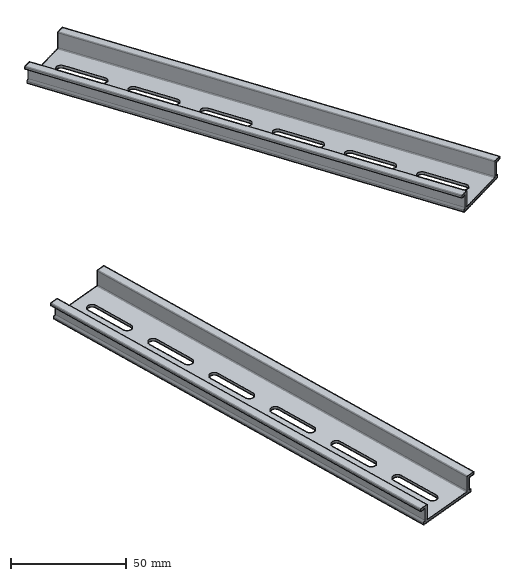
import cadquery as cq

LENGTH = 215.0
FLANGE_SPAN = 35.0
HEIGHT = 10.0

CHANNEL_WIDTH = 26.0
THICKNESS = 1.5
BASE_WIDTH = 31.2
EDGE_RADIUS = 0.3

SLOT_COUNT = 6
SLOT_PITCH = 35.5
SLOT_LENGTH = 25.0
SLOT_WIDTH = 4.7


def make_rail():
    """Hat-shaped section with base lips, extruded along X, all lengthwise edges rounded."""
    channel_y = CHANNEL_WIDTH / 2
    wall_y = channel_y + THICKNESS
    flange_tip_y = FLANGE_SPAN / 2
    lip_tip_y = BASE_WIDTH / 2
    flange_bottom = HEIGHT - THICKNESS

    positive_half = [
        (lip_tip_y, 0),
        (lip_tip_y, THICKNESS),
        (wall_y, THICKNESS),
        (wall_y, flange_bottom),
        (flange_tip_y, flange_bottom),
        (flange_tip_y, HEIGHT),
        (channel_y, HEIGHT),
        (channel_y, THICKNESS),
    ]
    negative_half = [(-y, z) for y, z in reversed(positive_half)]

    section = cq.Workplane("YZ").polyline(positive_half + negative_half).close()
    rail = section.extrude(LENGTH / 2, both=True)
    return rail.edges("|X").fillet(EDGE_RADIUS)


def make_slot_cutters():
    """Evenly spaced slots along X, centred on the base and as deep as it is thick."""
    return (
        cq.Workplane("XY")
        .rarray(SLOT_PITCH, 1, SLOT_COUNT, 1)
        .slot2D(SLOT_LENGTH, SLOT_WIDTH)
        .extrude(THICKNESS)
    )


result = make_rail().cut(make_slot_cutters())